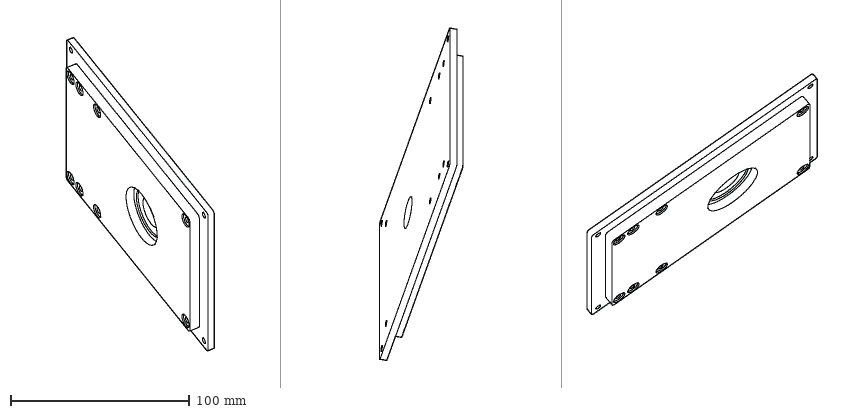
import cadquery as cq

plate_length = 159.5
plate_height = 110.0
plate_thickness = 4.0
block_inset = 10.0
block_length = plate_length - 2 * block_inset
block_height = plate_height - 2 * block_inset
block_thickness = 6.0
corner_radius = 2.0
block_face_y = -(plate_thickness + block_thickness)

screw_diameter = 3.3
head_diameter = 8.0
head_depth = 1.0
plate_hole_inset = 5.0
block_hole_inset = 15.0
left_hole_pitch = 10.0
left_hole_span = 30.0

bore_x = 15.3
bore_diameter = 18.0
seat_diameter = 29.0
recess_diameter = 35.0
recess_depth = 5.0
seat_depth = 6.0


def slab(length, height, front_y, thickness):
    """Rounded rectangular slab reaching back from its front face."""
    return (
        cq.Workplane("XY")
        .box(length, thickness, height)
        .edges("|Y")
        .fillet(corner_radius)
        .translate((0, front_y + thickness / 2, 0))
    )


def round_cutter(points, diameter, depth):
    """Cylinders at (x, z) points, sunk from the block face to the given depth."""
    return (
        cq.Workplane("XZ", origin=(0, block_face_y, 0))
        .pushPoints(points)
        .circle(diameter / 2)
        .extrude(-depth)
    )


def mirrored_rows(x_positions, z):
    """Matching points in an upper and a lower row."""
    return [(x, side * z) for x in x_positions for side in (-1, 1)]


through_depth = plate_thickness + block_thickness
result = slab(plate_length, plate_height, -plate_thickness, plate_thickness).union(
    slab(block_length, block_height, block_face_y, block_thickness)
)

plate_hole_x = plate_length / 2 - plate_hole_inset
plate_holes = mirrored_rows([-plate_hole_x, plate_hole_x], plate_height / 2 - plate_hole_inset)
result = result.cut(round_cutter(plate_holes, screw_diameter, through_depth))

block_hole_x = plate_length / 2 - block_hole_inset
block_columns = [
    -block_hole_x,
    -block_hole_x + left_hole_pitch,
    -block_hole_x + left_hole_span,
    block_hole_x,
]
block_holes = mirrored_rows(block_columns, plate_height / 2 - block_hole_inset)
result = result.cut(round_cutter(block_holes, screw_diameter, through_depth))
result = result.cut(round_cutter(block_holes, head_diameter, head_depth))

for diameter, depth in (
    (bore_diameter, through_depth),
    (seat_diameter, seat_depth),
    (recess_diameter, recess_depth),
):
    result = result.cut(round_cutter([(bore_x, 0)], diameter, depth))